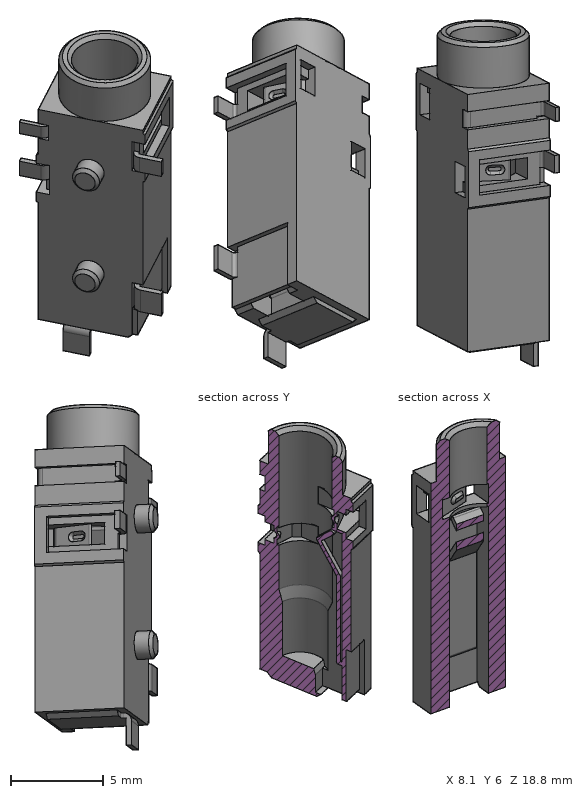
import cadquery as cq


body_width = 5.98
body_depth = 5.0
body_bottom = 1.79
body_top = 16.3
half_width = body_width / 2
half_depth = body_depth / 2

barrel_top = 18.8
barrel_radius = half_depth
barrel_chamfer = 0.2
bore_radius = 1.8
bore_chamfer = 0.23
bore_bottom = 3.38
bore_step_x = 0.55
bore_step_depth = 0.38
bore_step_slope = 0.11
throat_radius = 1.6
throat_top = 7.9
throat_taper = 0.75

pin_radius = 0.77
pin_length = 1.0
pin_chamfer = 0.19
pin_heights = (5.79, 12.78)

sheet = 0.3
inner_bend = 0.15
tip_inner_bend = 0.2
lead_span = 8.1
lead_reach = lead_span / 2
solder_face = -2.55

left_contact_height = 11.56
right_contact_height = 14.36
pad_above = 1.65
pad_below = 1.73
pad_rise = 0.11
side_pocket_height = 2.0
side_pocket_back = 1.82
contact_root = 2.35
contact_face = contact_root + sheet
contact_front = -2.09
side_lead_width = 1.0
side_lead_offset = 0.45
window_height = 1.2
window_front = -1.33
back_slot_front = 2.03
back_slot_drop = 0.56
back_slot_inner = 1.5

finger_sheet = 0.2
finger_tip = (-2.25, -0.4)
finger_bend = (-1.64, 1.62)
finger_root = (-1.13, 1.92)
dimple_length = 1.05
dimple_width = 0.55
dimple_depth = 0.17
dimple_slope = 45
dimple_y = 0.34

groove_bottom = 14.3
groove_top = 15.32
groove_root = 2.4
ground_sheet = 0.25
ground_lead_width = 0.79
ground_corner = 0.35

tip_pocket_top = 5.6
tip_pocket_root = 2.37
tip_lead_width = 1.5
tip_lead_height = 4.51
tip_strip_bottom = 2.01
tip_foot_front = -2.45
tip_pocket_chamfer = 0.23
tip_slot_inner = 0.65
tip_slot_front = -1.35
tip_slot_back = 1.25
tip_slot_top = 13.54
leaf_front = -1.03
leaf_back = 0.79

leaf_tip = (1.7, 13.31)
leaf_crest = (0.85, 12.48)
leaf_bend = (2.15, 10.53)
leaf_foot_height = 4.51

plate_left = -2.5
plate_right = 1.02
plate_half_depth = 2.0
plate_bevel = 0.28
plate_thickness = 0.28
tail_width = 1.5
tail_x = -0.8
tail_fillet = 0.1
corner_reach = 0.02


def block(x0, x1, y0, y1, z0, z1):
    """Box between two limits on each axis, given in either order."""
    size = (abs(x1 - x0), abs(y1 - y0), abs(z1 - z0))
    corner = (min(x0, x1), min(y0, y1), min(z0, z1))
    return cq.Workplane("XY").box(*size, centered=False).translate(corner)


def half_turn(shape):
    """Move a left side feature centred on z = 0 to the right side."""
    return shape.rotate((0, 0, 0), (0, 1, 0), 180)


def bent_lead(root, thickness, width, inner_radius=inner_bend):
    """L-shaped lead on the left side, bent from the side strip onto the solder face."""
    outer_radius = inner_radius + thickness
    bend_x = -root - outer_radius
    bend_y = solder_face + outer_radius
    profile = (
        cq.Workplane("XY")
        .moveTo(-root, bend_y + thickness)
        .lineTo(-root, bend_y)
        .radiusArc((bend_x, solder_face), outer_radius)
        .lineTo(-lead_reach, solder_face)
        .lineTo(-lead_reach, solder_face + thickness)
        .lineTo(bend_x, solder_face + thickness)
        .radiusArc((-root - thickness, bend_y), -inner_radius)
        .lineTo(-root - thickness, bend_y + thickness)
        .close()
    )
    return profile.extrude(width / 2, both=True)


def housing():
    body = block(-half_width, half_width, -half_depth, half_depth, body_bottom, body_top)
    barrel = (
        cq.Workplane("XY", origin=(0, 0, body_top))
        .circle(barrel_radius)
        .extrude(barrel_top - body_top)
        .faces(">Z")
        .chamfer(barrel_chamfer)
    )
    return body.union(barrel)


def pin(height):
    """Chamfered locating pin standing on the mounting face."""
    plane = cq.Workplane("XZ", origin=(0, -half_depth, height))
    return plane.circle(pin_radius).extrude(pin_length).faces("<Y").chamfer(pin_chamfer)


def plug_bore():
    """Stepped round bore with a countersunk mouth, a tapered throat and a raised floor on the left."""
    step_bottom = bore_bottom - bore_step_depth
    bore = (
        cq.Workplane("XZ")
        .moveTo(0, step_bottom)
        .lineTo(throat_radius, step_bottom)
        .lineTo(throat_radius, throat_top - throat_taper)
        .lineTo(bore_radius, throat_top)
        .lineTo(bore_radius, barrel_top - bore_chamfer)
        .lineTo(bore_radius + bore_chamfer, barrel_top)
        .lineTo(0, barrel_top)
        .close()
        .revolve(360, (0, 0, 0), (0, 1, 0))
    )
    floor_outline = [
        (-bore_radius, 0),
        (bore_step_x + bore_step_slope, 0),
        (bore_step_x + bore_step_slope, step_bottom),
        (bore_step_x, bore_bottom),
        (-bore_radius, bore_bottom),
    ]
    raised_floor = cq.Workplane("XZ").polyline(floor_outline).close().extrude(bore_radius, both=True)
    return bore.cut(raised_floor)


def side_pad():
    """Raised bevelled band on the left side around a contact pocket."""
    outline = [
        (-half_width, -pad_below),
        (-half_width - pad_rise, pad_rise - pad_below),
        (-half_width - pad_rise, pad_above - pad_rise),
        (-half_width, pad_above),
    ]
    return cq.Workplane("XZ").polyline(outline).close().extrude(half_depth, both=True)


def side_pocket():
    """Recess down to the contact strip, its window into the bore and the slot out of the back."""
    half = side_pocket_height / 2
    half_window = window_height / 2
    outer = -half_width - pad_rise
    recess = block(outer, -contact_face, -half_depth, side_pocket_back, -half, half)
    lead_notch = block(outer, -contact_root, -half_depth, contact_front, -half, half)
    window = block(-contact_face, 0, window_front, side_pocket_back, -half_window, half_window)
    back_floor = block(-contact_face, -back_slot_inner, 0, half_depth, -half_window, half_window)
    slot_bottom = -half_window - back_slot_drop
    back_slot = block(-contact_face, -back_slot_inner, back_slot_front, half_depth, slot_bottom, half_window)
    return recess.union(lead_notch).union(window).union(back_floor).union(back_slot)


def spring_finger():
    """Slanted finger across the window, with an oval dimple pressed toward the bore."""
    path = cq.Workplane("XY").polyline([finger_tip, finger_bend, finger_root])
    strip = path.offset2D(finger_sheet / 2).extrude(window_height / 2, both=True)

    run_x = finger_bend[0] - finger_tip[0]
    run_y = finger_bend[1] - finger_tip[1]
    dimple_x = finger_tip[0] + run_x * (dimple_y - finger_tip[1]) / run_y
    plane = cq.Plane(origin=(dimple_x, dimple_y, 0), xDir=(run_x, run_y, 0), normal=(run_y, -run_x, 0))
    inner_side = cq.Workplane(plane).workplane(offset=finger_sheet / 2)
    outer_side = cq.Workplane(plane).workplane(offset=-finger_sheet / 2)
    bulge = inner_side.slot2D(dimple_length, dimple_width).extrude(dimple_depth, taper=dimple_slope)
    dent = outer_side.slot2D(dimple_length, dimple_width).extrude(dimple_depth, taper=dimple_slope)
    return strip.union(bulge).cut(dent)


def side_contact():
    lead = bent_lead(contact_root, sheet, side_lead_width)
    return lead.translate((0, 0, side_lead_offset)).union(spring_finger())


def ground_groove():
    return block(-half_width, -groove_root, -half_depth, half_depth, groove_bottom, groove_top)


def ground_contact():
    """Strip lining the groove, rounded at the back and bent into a lead at the front."""
    strip_front = solder_face + 2 * ground_sheet + inner_bend
    middle = (groove_bottom + groove_top) / 2
    rounded = block(-groove_root - ground_sheet, 0, strip_front, half_depth, groove_bottom, groove_top)
    rounded = rounded.edges("|Z and <X and >Y").fillet(ground_corner)
    strip = rounded.intersect(ground_groove())
    lead = bent_lead(groove_root, ground_sheet, ground_lead_width)
    return strip.union(lead.translate((0, 0, middle)))


def tip_pocket():
    """Open-bottomed recess on the right side with a bevelled mouth."""
    mouth_top = body_bottom + tip_pocket_chamfer
    outline = [
        (half_width, body_bottom),
        (tip_pocket_root - tip_pocket_chamfer, body_bottom),
        (tip_pocket_root, mouth_top),
        (tip_pocket_root, tip_pocket_top),
        (half_width, tip_pocket_top),
    ]
    depth = half_depth + side_pocket_back
    recess = cq.Workplane("XZ", origin=(0, side_pocket_back, 0)).polyline(outline).close().extrude(depth)
    slot = block(tip_slot_inner, tip_pocket_root, tip_slot_front, tip_slot_back, body_bottom, tip_slot_top)
    return recess.union(slot)


def tip_contact():
    """Side strip with its lead and a leaf spring bulging into the bore, flared back at its tip."""
    strip_face = tip_pocket_root + sheet
    strip_front = solder_face + tip_inner_bend + sheet
    strip = block(tip_pocket_root, strip_face, strip_front, side_pocket_back, tip_strip_bottom, tip_pocket_top)
    foot_top = tip_lead_height - tip_lead_width / 2
    foot = block(tip_pocket_root, strip_face, tip_foot_front, strip_front, tip_strip_bottom, foot_top)
    lead = half_turn(bent_lead(tip_pocket_root, sheet, tip_lead_width, tip_inner_bend))
    leaf_heel = (leaf_bend[0], leaf_foot_height)
    leaf_foot = (tip_pocket_root + sheet / 2, leaf_foot_height)
    centre_line = [leaf_tip, leaf_crest, leaf_bend, leaf_heel, leaf_foot]
    leaf = (
        cq.Workplane("XZ", origin=(0, leaf_back, 0))
        .polyline(centre_line)
        .offset2D(sheet / 2)
        .extrude(leaf_back - leaf_front)
    )
    return strip.union(foot).union(lead.translate((0, 0, tip_lead_height))).union(leaf)


def tail_contact():
    """Bevelled plate under the housing with a lead bent down along the solder face."""
    plate_bottom = body_bottom - plate_thickness
    outline = [
        (plate_left, body_bottom),
        (plate_left + plate_bevel, plate_bottom),
        (plate_right - plate_bevel, plate_bottom),
        (plate_right, body_bottom),
    ]
    plate = cq.Workplane("XZ").polyline(outline).close().extrude(plate_half_depth, both=True)

    lead_back = solder_face + sheet
    outer_bend = inner_bend + sheet
    side_profile = (
        cq.Workplane("YZ", origin=(tail_x, 0, 0))
        .moveTo(-plate_half_depth, body_bottom)
        .lineTo(solder_face + outer_bend, body_bottom)
        .radiusArc((solder_face, body_bottom - outer_bend), -outer_bend)
        .lineTo(solder_face, 0)
        .lineTo(lead_back, 0)
        .lineTo(lead_back, plate_bottom)
        .lineTo(-plate_half_depth, plate_bottom)
        .close()
    )
    tail = side_profile.extrude(tail_width / 2, both=True)
    inner_corners = cq.selectors.BoxSelector(
        (plate_left, -plate_half_depth - corner_reach, 0),
        (plate_right, -plate_half_depth + corner_reach, body_bottom),
    )
    return plate.union(tail).edges("|Z").edges(inner_corners).fillet(tail_fillet)


result = housing()
for height in pin_heights:
    result = result.union(pin(height))
result = result.union(side_pad().translate((0, 0, left_contact_height)))
result = result.union(half_turn(side_pad()).translate((0, 0, right_contact_height)))

result = result.cut(plug_bore())
result = result.cut(side_pocket().translate((0, 0, left_contact_height)))
result = result.cut(half_turn(side_pocket()).translate((0, 0, right_contact_height)))
result = result.cut(ground_groove())
result = result.cut(tip_pocket())

result = result.union(side_contact().translate((0, 0, left_contact_height)))
result = result.union(half_turn(side_contact()).translate((0, 0, right_contact_height)))
result = result.union(ground_contact())
result = result.union(tip_contact())
result = result.union(tail_contact())